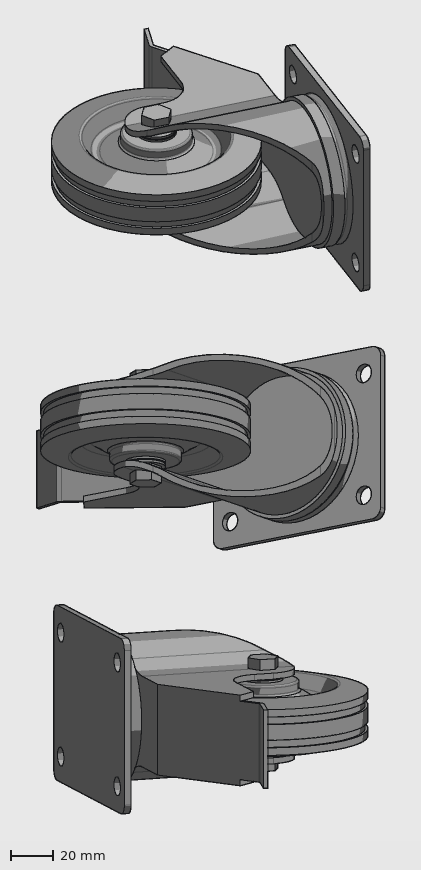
import cadquery as cq
import math


overall_length = 173
wheel_radius = 100.0 / 2
axle_to_plate_top = 75.0
swivel_x = 36.0

plate_length = 100.0
plate_height = 85.0
plate_thickness = 3.5
plate_corner_radius = 5.0
bolt_hole_diameter = 9.0
bolt_spacing_x = 80.0
bolt_spacing_z = 60.0

head_radius = 73.5 / 2
head_groove_depth = 1.2
head_groove_upper_height = 2.5
head_groove_lower_height = 1.7

fork_top_y = 61.6
sheet = 3.0
leg_outer_z = 22.0
shell_radius = 35.0
shell_blend_x = -1.7
fork_end_radius = 15.0
shell_rim_height = 4.2
shell_rim_fillet = 8.0
fork_slant_angle = 51.2
brace_corner_x = -23.4
brace_angle = 35.4
brace_length = 48.0
brace_bottom_y = 24.7

pedal_thickness = 2.0
pedal_bend_x = -71.6
pedal_lift_angle = 13
pedal_inner_bend = 1.0

wheel_half_width = 14.2
tread_half_width = 11.0
tread_groove_inner_z = 3.8
tread_groove_outer_z = 7.5
tread_groove_radius = 97.2 / 2
tyre_face_radius = 73.5 / 2
rim_lip_radius = 1.5
rim_wall_angle = 57
rim_foot_radius = 31.1
dish_radius = 27.0
dish_z = 5.7
hub_radius = 34.3 / 2
hub_base_z = 11.0
hub_fillet = 1.0
hub_half_width = 16.3
boss_radius = 19 / 2
boss_groove_z = 17.3
boss_groove_width = 0.5
boss_groove_depth = 0.2

hex_corner_diameter = 15.0
hex_height = 5.2

plate_bottom_y = axle_to_plate_top - plate_thickness
leg_inner_z = leg_outer_z - sheet
plate_right_x = swivel_x + plate_length / 2
pedal_end_x = plate_right_x - overall_length


def make_plate():
    """Rounded rectangular plate with four bolt holes."""
    plate = (
        cq.Workplane("XZ", origin=(swivel_x, axle_to_plate_top, 0))
        .rect(plate_length, plate_height)
        .extrude(plate_thickness)
        .edges("|Y")
        .fillet(plate_corner_radius)
    )
    return (
        plate.faces("<Y")
        .workplane(centerOption="CenterOfMass")
        .rect(bolt_spacing_x, bolt_spacing_z, forConstruction=True)
        .vertices()
        .hole(bolt_hole_diameter)
    )


def make_swivel_head():
    """Round head with a groove whose two flank arcs meet smoothly at its floor."""
    groove_floor = (head_radius - head_groove_depth, plate_bottom_y - head_groove_upper_height)
    groove_bottom_y = groove_floor[1] - head_groove_lower_height
    flank_radius = (head_groove_depth**2 + head_groove_lower_height**2) / (2 * head_groove_depth)
    flank_half_turn = math.asin(head_groove_lower_height / flank_radius) / 2
    flank_mid = (
        groove_floor[0] + flank_radius * (1 - math.cos(flank_half_turn)),
        groove_floor[1] - flank_radius * math.sin(flank_half_turn),
    )
    return (
        cq.Workplane("XY", origin=(swivel_x, 0, 0))
        .moveTo(0, fork_top_y)
        .lineTo(head_radius, fork_top_y)
        .lineTo(head_radius, groove_bottom_y)
        .threePointArc(flank_mid, groove_floor)
        .tangentArcPoint((head_radius, plate_bottom_y), relative=False)
        .lineTo(0, plate_bottom_y)
        .close()
        .revolve(360, (0, 0, 0), (0, 1, 0))
    )


def brace_point(x):
    """Point on the sloping upper edge of the fork and pedal."""
    return x, fork_top_y + (x - brace_corner_x) * math.tan(math.radians(brace_angle))


def fork_plan(half_width, radius, height):
    """Keyhole plan: straight legs that flare through tangent arcs into a round shell."""
    run = swivel_x - shell_blend_x
    blend_radius = (run**2 + half_width**2 - radius**2) / (2 * (radius - half_width))
    blend_center_z = half_width + blend_radius
    share = blend_radius / (blend_radius + radius)
    tangent = (shell_blend_x + run * share, blend_center_z * (1 - share))
    half_turn = math.atan2(tangent[0] - shell_blend_x, blend_center_z - tangent[1]) / 2
    middle = (
        shell_blend_x + blend_radius * math.sin(half_turn),
        blend_center_z - blend_radius * math.cos(half_turn),
    )
    return (
        cq.Workplane("XZ")
        .moveTo(pedal_end_x, half_width)
        .lineTo(shell_blend_x, half_width)
        .threePointArc(middle, tangent)
        .threePointArc((swivel_x + radius, 0), (tangent[0], -tangent[1]))
        .threePointArc((middle[0], -middle[1]), (shell_blend_x, -half_width))
        .lineTo(pedal_end_x, -half_width)
        .close()
        .extrude(-height)
    )


def fork_side():
    """Side outline of the fork, extruded across its full width."""
    slope = math.radians(brace_angle)
    slant = math.radians(fork_slant_angle)
    end = fork_end_radius
    diagonal = end * math.sqrt(0.5)

    nose = brace_point(brace_corner_x - brace_length * math.cos(slope))
    nose_foot = (nose[0] + (nose[1] - brace_bottom_y) * math.tan(slope), brace_bottom_y)
    slant_start = (end * math.sin(slant), -end * math.cos(slant))

    rim_y = fork_top_y - shell_rim_height
    fillet_start_y = rim_y - shell_rim_fillet * (1 - math.cos(slant))
    fillet_start_x = slant_start[0] + (fillet_start_y - slant_start[1]) / math.tan(slant)
    fillet_end_x = fillet_start_x + shell_rim_fillet * math.sin(slant)
    fillet_mid = (
        fillet_end_x - shell_rim_fillet * math.sin(slant / 2),
        rim_y - shell_rim_fillet * (1 - math.cos(slant / 2)),
    )
    return (
        cq.Workplane("XY")
        .moveTo(plate_right_x, fork_top_y)
        .lineTo(brace_corner_x, fork_top_y)
        .lineTo(*nose)
        .lineTo(*nose_foot)
        .lineTo(-2 * end, brace_bottom_y)
        .threePointArc(
            (-2 * end + diagonal, brace_bottom_y - end + diagonal),
            (-end, brace_bottom_y - end),
        )
        .lineTo(-end, 0)
        .threePointArc((-diagonal, -diagonal), slant_start)
        .lineTo(fillet_start_x, fillet_start_y)
        .threePointArc(fillet_mid, (fillet_end_x, rim_y))
        .lineTo(plate_right_x, rim_y)
        .close()
        .extrude(leg_outer_z + shell_radius, both=True)
    )


def make_fork():
    """Two legs and a round shell hanging from a flat top web."""
    below_axle = -2 * fork_end_radius
    outer = fork_plan(leg_outer_z, shell_radius, fork_top_y - below_axle)
    inner = fork_plan(leg_inner_z, shell_radius - sheet, fork_top_y - sheet - below_axle)
    shell = outer.cut(inner).translate((0, below_axle, 0))
    return shell.intersect(fork_side())


def make_pedal():
    """Strip that follows the slope between the legs and turns up at its free end."""
    slope = math.radians(brace_angle)
    lift = math.radians(pedal_lift_angle)
    top = brace_point(brace_corner_x)
    bend = brace_point(pedal_bend_x)
    tip = (pedal_end_x, bend[1] + (bend[0] - pedal_end_x) * math.tan(lift))

    slope_drop = pedal_thickness / math.cos(slope)
    lift_drop = pedal_thickness / math.cos(lift)
    low_bend_shift = (slope_drop - lift_drop) / (math.tan(slope) + math.tan(lift))
    low_bend_x = bend[0] + low_bend_shift
    low_bend = (low_bend_x, bend[1] - lift_drop - low_bend_shift * math.tan(lift))
    top_end_x = top[0] + slope_drop / math.tan(slope)

    pedal = (
        cq.Workplane("XY")
        .polyline([top, bend, tip, (tip[0], tip[1] - lift_drop), low_bend, (top_end_x, top[1])])
        .close()
        .extrude(leg_inner_z, both=True)
    )
    pedal = pedal.edges(cq.NearestToPointSelector((*bend, 0))).fillet(pedal_inner_bend)
    outer_bend = pedal_inner_bend + pedal_thickness
    return pedal.edges(cq.NearestToPointSelector((*low_bend, 0))).fillet(outer_bend)


def make_half_wheel():
    """Upper half of the wheel, hub and spacer boss, revolved about the axle."""
    fillet_z = hub_base_z + hub_fillet
    fillet_diagonal = hub_fillet * (1 - math.sqrt(0.5))

    wall = math.radians(rim_wall_angle)
    lip_mid = (
        tyre_face_radius - rim_lip_radius * math.sin(wall / 2),
        wheel_half_width - rim_lip_radius * (1 - math.cos(wall / 2)),
    )
    lip_end = (
        tyre_face_radius - rim_lip_radius * math.sin(wall),
        wheel_half_width - rim_lip_radius * (1 - math.cos(wall)),
    )
    rim_foot_z = lip_end[1] - (lip_end[0] - rim_foot_radius) * math.tan(wall)

    groove_top_z = boss_groove_z + boss_groove_width
    groove_radius = boss_radius - boss_groove_depth
    return (
        cq.Workplane("XZ")
        .moveTo(0, 0)
        .lineTo(wheel_radius, 0)
        .lineTo(wheel_radius, tread_groove_inner_z)
        .lineTo(tread_groove_radius, tread_groove_inner_z)
        .lineTo(tread_groove_radius, tread_groove_outer_z)
        .lineTo(wheel_radius, tread_groove_outer_z)
        .lineTo(wheel_radius, tread_half_width)
        .lineTo(tyre_face_radius, wheel_half_width)
        .threePointArc(lip_mid, lip_end)
        .lineTo(rim_foot_radius, rim_foot_z)
        .tangentArcPoint((dish_radius, dish_z), relative=False)
        .lineTo(hub_radius + hub_fillet, hub_base_z)
        .threePointArc(
            (hub_radius + fillet_diagonal, hub_base_z + fillet_diagonal),
            (hub_radius, fillet_z),
        )
        .lineTo(hub_radius, hub_half_width - hub_fillet)
        .threePointArc(
            (hub_radius - fillet_diagonal, hub_half_width - fillet_diagonal),
            (hub_radius - hub_fillet, hub_half_width),
        )
        .lineTo(boss_radius, hub_half_width)
        .lineTo(boss_radius, boss_groove_z)
        .lineTo(groove_radius, boss_groove_z)
        .lineTo(groove_radius, groove_top_z)
        .lineTo(boss_radius, groove_top_z)
        .lineTo(boss_radius, leg_inner_z)
        .lineTo(0, leg_inner_z)
        .close()
        .revolve(360, (0, 0, 0), (0, 1, 0))
    )


def make_hex_head():
    """Hexagonal bolt head on the outside of the upper leg, corners toward +Y and -Y."""
    return (
        cq.Workplane("XY", origin=(0, 0, leg_inner_z))
        .polygon(6, hex_corner_diameter)
        .extrude(sheet + hex_height)
        .rotate((0, 0, 0), (0, 0, 1), 90)
    )


result = make_plate().union(make_swivel_head()).union(make_fork()).union(make_pedal())
for half in (make_half_wheel(), make_hex_head()):
    result = result.union(half).union(half.mirror("XY"))